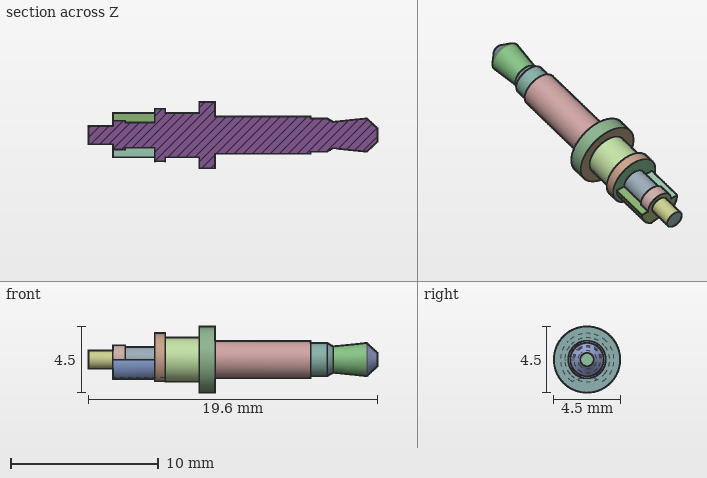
import cadquery as cq

pin_start = 0
shell_start = 1.67
collar_end = 2.5
flange_start = 4.49
flange_end = 5.21
stop_start = 7.5
stop_end = 8.58
sleeve_end = 15.05
ring_end = 16.17
waist = 16.58
tip_shoulder = 18.85
tip_end = 19.6

pin_radius = 0.63
collar_radius = 0.98
neck_radius = 0.86
body_radius = 1.5
flange_radius = 1.8
stop_radius = 2.25
sleeve_radius = 1.27
ring_radius = 1.14
waist_radius = 0.9
tip_radius = 1.14
tip_face_radius = 0.45
tip_rounding = 0.1

relief_radius = 2.15
relief_top = -1.22


def cylinder(start, end, radius):
    """Solid cylinder on the X axis between two stations."""
    return cq.Workplane("YZ", origin=(start, 0, 0)).circle(radius).extrude(end - start)


def make_rear():
    """Pin, collar, neck, half-round shell and the relieved flange."""
    pin = cylinder(pin_start, shell_start, pin_radius)
    collar = cylinder(shell_start, collar_end, collar_radius)
    neck = cylinder(collar_end, flange_start, neck_radius)
    flange = cylinder(flange_start, flange_end, flange_radius)

    shell_length = flange_start - shell_start
    lower_half = cq.Workplane("XY").box(
        shell_length, 2 * body_radius, body_radius, centered=(False, True, False)
    ).translate((shell_start, 0, -body_radius))
    shell = cylinder(shell_start, flange_start, body_radius).intersect(lower_half)

    relief = cylinder(shell_start, flange_end, relief_radius).translate(
        (0, 0, relief_top - relief_radius)
    )
    lower_rear = collar.union(neck).union(shell).union(flange).cut(relief)
    return pin.union(lower_rear)


def make_tip():
    """Chamfered insulating ring, waist and flared tip with a softened shoulder."""
    profile = [
        (sleeve_end, 0),
        (sleeve_end, ring_radius),
        (ring_end, ring_radius),
        (waist, waist_radius),
        (tip_shoulder, tip_radius),
        (tip_end, tip_face_radius),
        (tip_end, 0),
    ]
    tip = cq.Workplane("XY").polyline(profile).close().revolve(360, (0, 0, 0), (1, 0, 0))
    shoulder = cq.selectors.BoxSelector(
        (tip_shoulder - tip_rounding, -tip_radius, -tip_radius),
        (tip_shoulder + tip_rounding, tip_radius, tip_radius),
    )
    return tip.edges(shoulder).edges("%CIRCLE").fillet(tip_rounding)


body = cylinder(flange_end, stop_start, body_radius)
stop = cylinder(stop_start, stop_end, stop_radius)
sleeve = cylinder(stop_end, sleeve_end, sleeve_radius)

result = make_rear().union(body).union(stop).union(sleeve).union(make_tip())